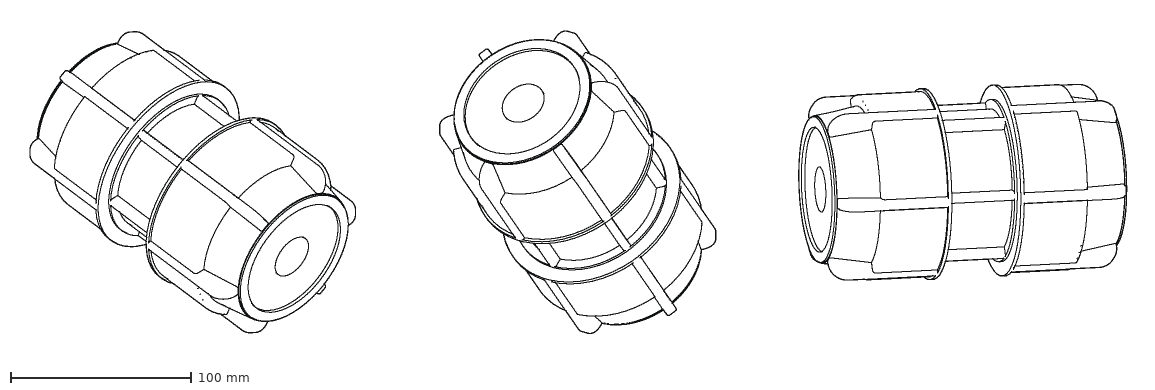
import cadquery as cq

length = 167.0
outer_radius = 106.0 / 2
half_length = length / 2

rib_count = 6
rib_root_radius = 36.7
rib_edge_fillet = 1.0

body_radius = 39.7
collar_radius = 90.2 / 2
collar_inner_x = 18.2
body_rib_width = 4.8

nut_inner_x = 19.7
flange_thickness = 2.0
barrel_radius = 51.5
barrel_end_x = 58.6
barrel_end_fillet = 1.7
cone_base_radius = 45.3
cone_tip_radius = 41.0
rim_width = 1.2
rim_radius = 40.5
nut_rib_width = 6.0
nut_rib_tip_x = 82.2
nut_rib_corner_radius = 10.4

recess_radius = 69.3 / 2
recess_depth = 2.0
socket_radius = 25.0 / 2
bore_radius = 23.0 / 2


def cylinder_x(radius, start_x, end_x):
    """Solid cylinder on the X axis from start_x to end_x."""
    return cq.Workplane("YZ", origin=(start_x, 0, 0)).circle(radius).extrude(end_x - start_x)


def around_axis(body):
    """List of copies of body spread evenly around the X axis."""
    step = 360.0 / rib_count
    return [body.rotate((0, 0, 0), (1, 0, 0), i * step) for i in range(rib_count)]


def make_rib(start_x, end_x, top_radius, width):
    """Straight rib along X on the +Y side, rooted inside the body."""
    size = (end_x - start_x, top_radius - rib_root_radius, width)
    rib = cq.Workplane("XY").box(*size, centered=(False, False, True))
    return rib.translate((start_x, rib_root_radius, 0))


def make_middle_body():
    """Plain cylinder with an end collar on each side and long ribs between them."""
    body = cylinder_x(body_radius, -nut_inner_x, nut_inner_x)
    for start_x, end_x in ((-nut_inner_x, -collar_inner_x), (collar_inner_x, nut_inner_x)):
        body = body.union(cylinder_x(collar_radius, start_x, end_x))
    rib = make_rib(-nut_inner_x, nut_inner_x, collar_radius, body_rib_width)
    rib = rib.edges("|X and >Y").fillet(rib_edge_fillet)
    for copy in around_axis(rib):
        body = body.union(copy)
    return body


def make_nut():
    """Nut on the +X side: flange, barrel, tapered nose, ribs, recess and pipe socket."""
    barrel = cylinder_x(barrel_radius, nut_inner_x, barrel_end_x)
    barrel = barrel.faces(">X").edges().fillet(barrel_end_fillet)
    flange = cylinder_x(outer_radius, nut_inner_x, nut_inner_x + flange_thickness)
    nose = (
        cq.Workplane("XY")
        .moveTo(nut_inner_x, 0)
        .lineTo(nut_inner_x, cone_base_radius)
        .lineTo(barrel_end_x, cone_base_radius)
        .lineTo(half_length - rim_width, cone_tip_radius)
        .lineTo(half_length - rim_width, rim_radius)
        .lineTo(half_length, rim_radius)
        .lineTo(half_length, 0)
        .close()
        .revolve(360, (0, 0, 0), (1, 0, 0))
    )
    nut = barrel.union(flange).union(nose)

    rib = make_rib(nut_inner_x, nut_rib_tip_x, outer_radius, nut_rib_width)
    rib = rib.edges("|Z and >X and >Y").fillet(nut_rib_corner_radius)
    rib = rib.faces(">Y").edges("|X").fillet(rib_edge_fillet)
    for copy in around_axis(rib):
        nut = nut.union(copy)

    nut = nut.cut(cylinder_x(recess_radius, half_length - recess_depth, half_length))
    return nut.cut(cylinder_x(socket_radius, nut_inner_x, half_length))


nut = make_nut()
coupling = make_middle_body().union(nut).union(nut.mirror("YZ"))
result = coupling.cut(cylinder_x(bore_radius, -half_length, half_length))